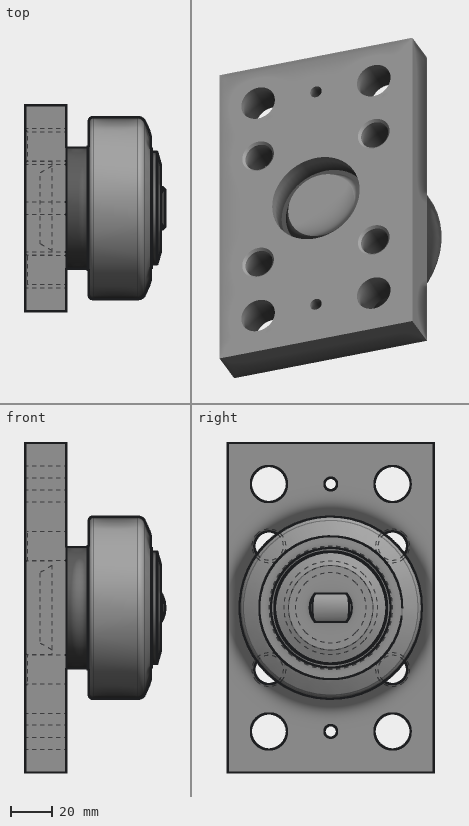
import cadquery as cq
import math

PLATE_THICKNESS = 20.0
PLATE_WIDTH = 100.0
PLATE_HEIGHT = 160.0

HOLE_HALF_SPACING_Y = 30.0
MOUNT_HOLE_Z = 60.0
MOUNT_HOLE_DIAMETER = 17.4
SCREW_HOLE_Z = 30.0
SCREW_HOLE_DIAMETER = 14.0
SCREW_CHAMFER = 1.2
PIN_HOLE_DIAMETER = 6.0

BORE_DIAMETER = 45.4
BORE_DEPTH = 13.0
SHANK_END_DIAMETER = 41.0
SHANK_TIP_DIAMETER = 34.2
SHANK_TIP_HEIGHT = 5.9

NECK_RADIUS = 29.5
INNER_RING_RADIUS = 30.0
INNER_RING_START = 30.3
ROLLER_RADIUS = 44.25
ROLLER_START = 30.8
ROLLER_END = 61.0
ROLLER_REAR_FILLET = 2.25
ROLLER_FRONT_START = 54.6
ROLLER_FRONT_ARC_RADIUS = 3.8
ROLLER_FRONT_FACE_RADIUS = 34.7
ROLLER_FRONT_SLOPE = math.radians(60)
OUTER_RING_RADIUS = 29.0
OUTER_RING_END = 61.5
CAP_RADIUS = 27.4
CAP_RIM_END = 63.7
CAP_BEVEL = 0.4
CAP_FACE_RADIUS = 20.5
CAP_END = 66.0

BUTTON_END = 68.0
BUTTON_RADIUS = 10.2
BUTTON_CHAMFER = 1.3
BUTTON_HALF_HEIGHT = 7.0


def cylinder_along_x(diameter, start, end, y=0.0, z=0.0):
    return (
        cq.Workplane("YZ", origin=(start, y, z))
        .circle(diameter / 2)
        .extrude(end - start)
    )


def make_plate():
    return cq.Workplane("XY").box(
        PLATE_THICKNESS, PLATE_WIDTH, PLATE_HEIGHT, centered=(False, True, True)
    )


def make_roller():
    """Neck, roller and cap as one profile (X, radius) turned about X."""
    half_slope = ROLLER_FRONT_SLOPE / 2
    arc_centre_radius = ROLLER_RADIUS - ROLLER_FRONT_ARC_RADIUS

    def front_arc_point(angle):
        return (
            ROLLER_FRONT_START + ROLLER_FRONT_ARC_RADIUS * math.sin(angle),
            arc_centre_radius + ROLLER_FRONT_ARC_RADIUS * math.cos(angle),
        )

    arc_end = front_arc_point(ROLLER_FRONT_SLOPE)

    profile = (
        cq.Workplane("XY")
        .moveTo(PLATE_THICKNESS, 0)
        .lineTo(PLATE_THICKNESS, NECK_RADIUS)
        .lineTo(INNER_RING_START, NECK_RADIUS)
        .lineTo(INNER_RING_START, INNER_RING_RADIUS)
        .lineTo(ROLLER_START, INNER_RING_RADIUS)
        .lineTo(ROLLER_START, ROLLER_RADIUS - ROLLER_REAR_FILLET)
        .radiusArc((ROLLER_START + ROLLER_REAR_FILLET, ROLLER_RADIUS), ROLLER_REAR_FILLET)
        .lineTo(ROLLER_FRONT_START, ROLLER_RADIUS)
        .threePointArc(front_arc_point(half_slope), arc_end)
        .tangentArcPoint((ROLLER_END, ROLLER_FRONT_FACE_RADIUS), relative=False)
        .lineTo(ROLLER_END, OUTER_RING_RADIUS)
        .lineTo(OUTER_RING_END, OUTER_RING_RADIUS)
        .lineTo(OUTER_RING_END, CAP_RADIUS)
        .lineTo(CAP_RIM_END, CAP_RADIUS)
        .lineTo(CAP_RIM_END + CAP_BEVEL, CAP_RADIUS - CAP_BEVEL)
        .lineTo(CAP_END, CAP_FACE_RADIUS)
        .lineTo(CAP_END, 0)
        .close()
    )
    return profile.revolve(360, (0, 0, 0), (1, 0, 0))


def make_button():
    """Chamfered disc trimmed to a shallow crown that is curved about Y."""
    disc = cylinder_along_x(2 * BUTTON_RADIUS, CAP_END, BUTTON_END).faces(">X").chamfer(BUTTON_CHAMFER)
    crown = (
        cq.Workplane("XZ")
        .moveTo(CAP_END, -BUTTON_HALF_HEIGHT)
        .threePointArc((BUTTON_END, 0), (CAP_END, BUTTON_HALF_HEIGHT))
        .close()
        .extrude(BUTTON_RADIUS, both=True)
    )
    return disc.intersect(crown)


def make_shank_end():
    """Conical shank tip on the floor of the bore, narrowing toward -X."""
    chamfer_width = (SHANK_END_DIAMETER - SHANK_TIP_DIAMETER) / 2
    tip = cylinder_along_x(SHANK_END_DIAMETER, BORE_DEPTH - SHANK_TIP_HEIGHT, PLATE_THICKNESS)
    return tip.faces("<X").edges().chamfer(SHANK_TIP_HEIGHT, chamfer_width)


def make_screw_hole(y, z):
    """Through hole with a 45 degree chamfer at the back face of the plate."""
    radius = SCREW_HOLE_DIAMETER / 2
    mouth_radius = radius + SCREW_CHAMFER
    hole = cylinder_along_x(SCREW_HOLE_DIAMETER, 0, PLATE_THICKNESS, y, z)
    countersink = cq.Solid.makeCone(
        mouth_radius, radius, SCREW_CHAMFER, cq.Vector(0, y, z), cq.Vector(1, 0, 0)
    )
    return hole.union(cq.Workplane(obj=countersink))


def cut_plate_holes(body):
    for z_side in (-1, 1):
        mount_z = z_side * MOUNT_HOLE_Z
        body = body.cut(cylinder_along_x(PIN_HOLE_DIAMETER, 0, PLATE_THICKNESS, 0, mount_z))
        for y_side in (-1, 1):
            y = y_side * HOLE_HALF_SPACING_Y
            body = body.cut(cylinder_along_x(MOUNT_HOLE_DIAMETER, 0, PLATE_THICKNESS, y, mount_z))
            body = body.cut(make_screw_hole(y, z_side * SCREW_HOLE_Z))
    return body


plate = cut_plate_holes(make_plate())
bored_body = plate.union(make_roller()).cut(cylinder_along_x(BORE_DIAMETER, 0, BORE_DEPTH))
result = bored_body.union(make_shank_end()).union(make_button())